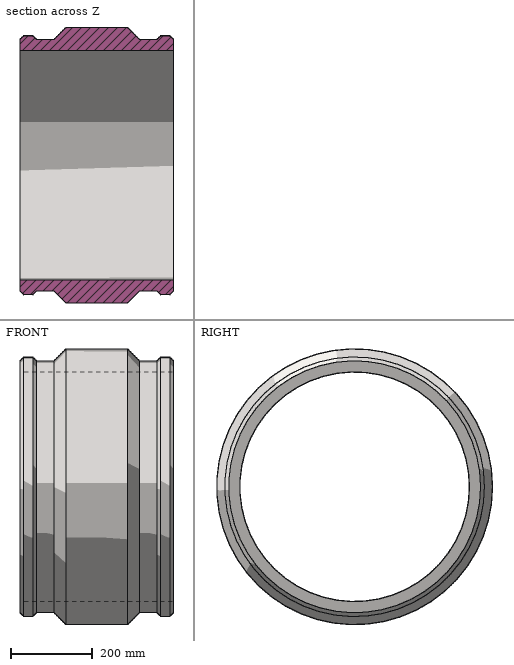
import cadquery as cq
import math

length = 376.0
bore_diameter = 560.0
barrel_diameter = 674.0
rim_diameter = 634.0
neck_diameter = 614.98

barrel_width = 150.4
rim_flat_width = 22.4
flank_angle = 45.0

half_length = length / 2
bore_radius = bore_diameter / 2
barrel_radius = barrel_diameter / 2
rim_radius = rim_diameter / 2
neck_radius = neck_diameter / 2

flank_slope = math.tan(math.radians(flank_angle))
shoulder_width = (barrel_radius - neck_radius) / flank_slope
rim_flank_width = (rim_radius - neck_radius) / flank_slope

barrel_edge = barrel_width / 2
shoulder_foot = barrel_edge + shoulder_width
rim_outer_edge = half_length - rim_flank_width
rim_inner_edge = rim_outer_edge - rim_flat_width
rim_foot = rim_inner_edge - rim_flank_width


def outer_profile():
    """Points (x, radius) of the outer surface, from the -X end to the +X end."""
    right_half = [
        (barrel_edge, barrel_radius),
        (shoulder_foot, neck_radius),
        (rim_foot, neck_radius),
        (rim_inner_edge, rim_radius),
        (rim_outer_edge, rim_radius),
        (half_length, neck_radius),
    ]
    left_half = [(-x, radius) for x, radius in reversed(right_half)]
    return left_half + right_half


def make_sleeve():
    """Revolve the wall section, closed along the straight bore, about the X axis."""
    bore_line = [(half_length, bore_radius), (-half_length, bore_radius)]
    wall_section = cq.Workplane("XY").polyline(outer_profile() + bore_line).close()
    return wall_section.revolve(360, (0, 0, 0), (1, 0, 0))


result = make_sleeve()